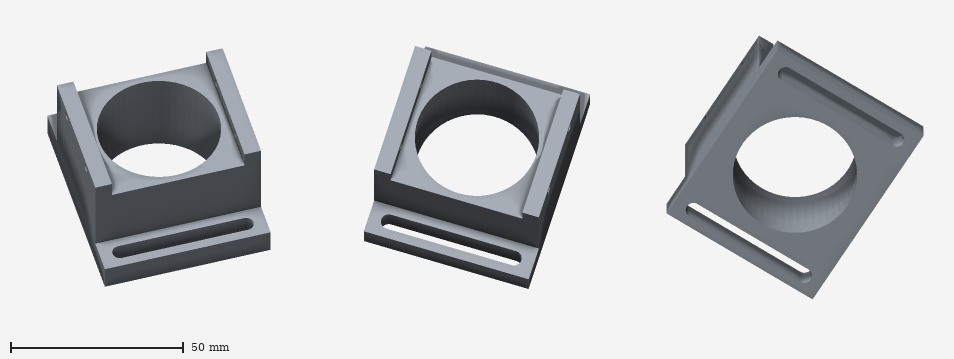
import cadquery as cq

length = 60.0
depth = 50.0
height = 33.5

base_height = 8.0
block_length = 40.0
flange_width = (length - block_length) / 2

rail_thickness = 5.0
rail_height = 5.0

bore_diameter = 36.0

slot_width = 4.5
slot_length = 42.5
slot_offset = (length - flange_width) / 2

rail_hole_diameter = 2.5
rail_hole_spacing = 20.0
rail_hole_height = height - rail_height / 2


def make_body():
    """Base plate with the central block standing on it."""
    base = cq.Workplane("XY").box(length, depth, base_height, centered=(True, True, False))
    block = cq.Workplane("XY").box(block_length, depth, height, centered=(True, True, False))
    return base.union(block)


def make_channel():
    """Space between the two rails, open at both ends."""
    channel_width = depth - 2 * rail_thickness
    return (
        cq.Workplane("XY")
        .workplane(offset=height - rail_height)
        .rect(block_length, channel_width)
        .extrude(rail_height)
    )


def make_bore():
    """Round bore through the full height."""
    return cq.Workplane("XY").circle(bore_diameter / 2).extrude(height)


def make_slots():
    """One round-ended slot through each flange."""
    return (
        cq.Workplane("XY")
        .pushPoints([(-slot_offset, 0), (slot_offset, 0)])
        .slot2D(slot_length, slot_width, angle=90)
        .extrude(base_height)
    )


def make_rail_holes():
    """Two holes running along Y through both rails."""
    half_spacing = rail_hole_spacing / 2
    return (
        cq.Workplane("XZ")
        .pushPoints([(-half_spacing, rail_hole_height), (half_spacing, rail_hole_height)])
        .circle(rail_hole_diameter / 2)
        .extrude(depth / 2, both=True)
    )


result = make_body()
for cutter in (make_channel(), make_bore(), make_slots(), make_rail_holes()):
    result = result.cut(cutter)